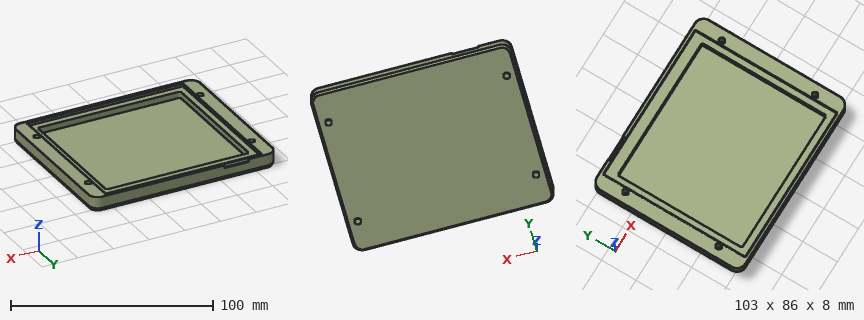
import cadquery as cq

length = 103.0
width = 86.0
height = 8.0
corner_radius = 5.0
bevel_height = 1.8
bevel_inset = 1.0

recess_length = 87.3
recess_width = 82.2
recess_depth = 1.5
recess_floor = height - recess_depth

pocket_length = 80.0
pocket_width = 72.0
pocket_offset_y = -1.0
pocket_depth = 3.5
pocket_corner_radius = 1.0
pocket_floor = recess_floor - pocket_depth

hole_diameter = 3.2
hole_spacing_x = 91.5
hole_spacing_y = 54.0

notch_length = 14.0
notch_reach = 1.2
notch_depth = 1.5
notch_draft = 0.4
notch_center_x = -28.9
notch_floor = height - notch_depth


def make_body():
    body = cq.Workplane("XY").box(length, width, height, centered=(True, True, False))
    body = body.edges("|Z").fillet(corner_radius)
    return body.faces("<Z").chamfer(bevel_height, bevel_inset)


def make_recess():
    return (
        cq.Workplane("XY", origin=(0, 0, recess_floor))
        .rect(recess_length, recess_width)
        .extrude(recess_depth)
    )


def make_pocket():
    return (
        cq.Workplane("XY", origin=(0, pocket_offset_y, pocket_floor))
        .rect(pocket_length, pocket_width)
        .extrude(pocket_depth)
        .edges("|Z")
        .fillet(pocket_corner_radius)
    )


def make_screw_holes():
    return (
        cq.Workplane("XY")
        .rect(hole_spacing_x, hole_spacing_y, forConstruction=True)
        .vertices()
        .circle(hole_diameter / 2)
        .extrude(height)
    )


def make_notch():
    floor_length = notch_length - 2 * notch_draft
    floor_reach = notch_reach - notch_draft
    return (
        cq.Workplane("XY", origin=(notch_center_x, width / 2, notch_floor))
        .rect(floor_length, 2 * floor_reach)
        .workplane(offset=notch_depth)
        .rect(notch_length, 2 * notch_reach)
        .loft(ruled=True)
    )


result = (
    make_body()
    .cut(make_recess())
    .cut(make_pocket())
    .cut(make_screw_holes())
    .cut(make_notch())
)